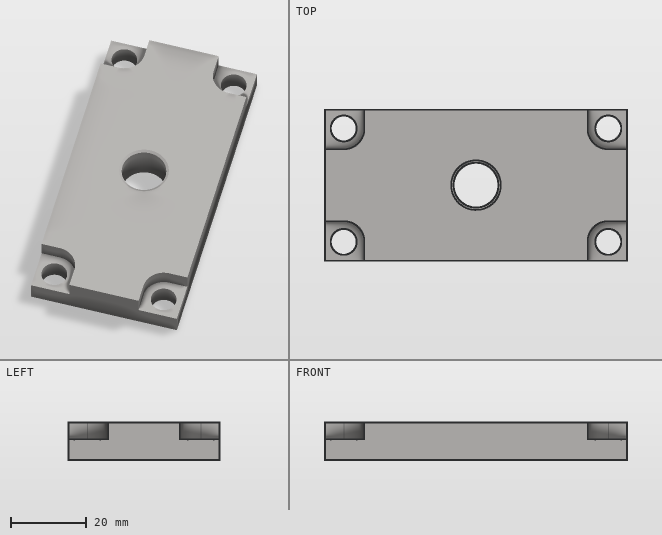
import cadquery as cq
import math

length = 80.0
width = 40.0
thickness = 10.0

hole_inset = 5.0
hole_diameter = 6.8
seat_radius = 5.5
seat_depth = 4.5

bore_diameter = 11.8
mouth_diameter = 13.15
mouth_cone_angle = 120.0

hole_spacing_x = length - 2 * hole_inset
hole_spacing_y = width - 2 * hole_inset
seat_reach = hole_inset + seat_radius
mouth_step = (mouth_diameter - bore_diameter) / 2
mouth_depth = mouth_step / math.tan(math.radians(mouth_cone_angle / 2))


def make_plate():
    """Rectangular plate standing on Z = 0, centred in X and Y."""
    return cq.Workplane("XY").box(length, width, thickness, centered=(True, True, False))


def make_corner_seat(side_x, side_y):
    """Rounded block centred on a plate corner; its inner quarter is the seat, concentric with the hole."""
    block_side = 2 * seat_reach
    seat = cq.Workplane("XY").box(block_side, block_side, seat_depth, centered=(True, True, False))
    seat = seat.edges("|Z").fillet(seat_radius)
    return seat.translate((side_x * length / 2, side_y * width / 2, thickness - seat_depth))


def cut_corner_seats(body):
    for side_x in (-1, 1):
        for side_y in (-1, 1):
            body = body.cut(make_corner_seat(side_x, side_y))
    return body


def cut_corner_holes(body):
    """Through holes, one in each corner seat."""
    holes = (
        cq.Workplane("XY")
        .rect(hole_spacing_x, hole_spacing_y, forConstruction=True)
        .vertices()
        .circle(hole_diameter / 2)
        .extrude(thickness)
    )
    return body.cut(holes)


def cut_central_bore(body):
    """Through bore with a countersunk mouth on the top face."""
    bore = cq.Workplane("XY").circle(bore_diameter / 2).extrude(thickness)
    mouth = (
        cq.Workplane("XY")
        .workplane(offset=thickness - mouth_depth)
        .circle(bore_diameter / 2)
        .workplane(offset=mouth_depth)
        .circle(mouth_diameter / 2)
        .loft()
    )
    return body.cut(bore).cut(mouth)


plate = make_plate()
plate = cut_corner_seats(plate)
plate = cut_corner_holes(plate)
result = cut_central_bore(plate)